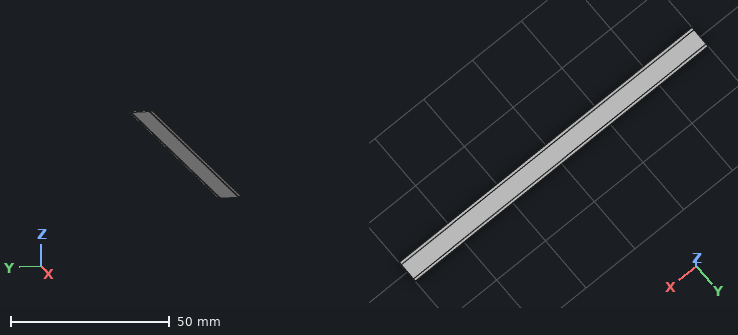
import cadquery as cq

LENGTH = 120.0
WIDTH = 8.0
THICKNESS = 0.45

FLANGE_THICKNESS = 0.25
FLANGE_OVERHANG = 1.0

CORE_WIDTH = WIDTH - 2 * FLANGE_OVERHANG
CORE_THICKNESS = THICKNESS - FLANGE_THICKNESS


def layer(width, thickness, bottom):
    """Full-length flat layer, centred on X and Y, with its underside at Z = bottom."""
    return (
        cq.Workplane("XY")
        .workplane(offset=bottom)
        .rect(LENGTH, width)
        .extrude(thickness)
    )


core = layer(CORE_WIDTH, CORE_THICKNESS, 0)
flange = layer(WIDTH, FLANGE_THICKNESS, CORE_THICKNESS)

result = core.union(flange).clean()